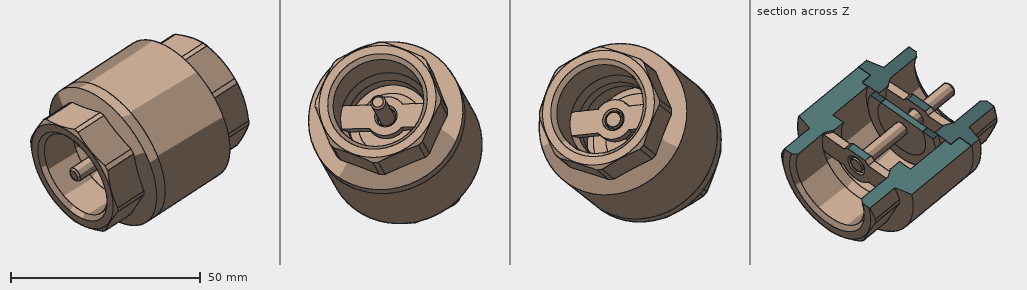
import cadquery as cq
import math


length = 48.5
half_length = length / 2
barrel_diameter = 41.5
barrel_radius = barrel_diameter / 2
shoulder_y = 13.2
shoulder_angle = 15.0
cone_overlap = 0.5
joint_y = -10.15

wrench_sides = 8
wrench_flats = 31.7
wrench_corner_radius = 16.9
wrench_face_radius = 15.7
wrench_chamfer_angle = 30.0
cap_turn = 2.3

socket_radius = 12.15
mouth_chamfer = 1.2
socket_floor_y = 12.85
throat_radius = 10.9
throat_cone_depth = 2.4
throat_y = socket_floor_y - throat_cone_depth

bridge_width = 6.55
hub_radius = 5.45
guide_radius = 2.5
guide_chamfer = 0.5

seat_y = -6.8
spigot_radius = 16.5
chamber_radius = 14.55

closure_thickness = 1.95
seal_radius = 12.12
disc_radius = 8.6
stem_radius = 2.0
stem_chamfer = 0.55
stem_tip_y = -23.75


def axial_cylinder(radius, start_y, end_y):
    """Cylinder on the Y axis between two stations."""
    return cq.Workplane("XZ", origin=(0, start_y, 0)).circle(radius).extrude(start_y - end_y)


def revolved(profile):
    """Solid of revolution about Y from (radius, y) points."""
    return cq.Workplane("XY").polyline(profile).close().revolve(360, (0, 0, 0), (0, 1, 0))


def wrench_end():
    """Octagon at the -Y end with cylindrical corners and a chamfered end face."""
    across_corners = wrench_flats / math.cos(math.pi / wrench_sides)
    octagon = (
        cq.Workplane("XZ", origin=(0, -half_length, 0))
        .polygon(wrench_sides, across_corners)
        .extrude(-half_length)
    )
    chamfer_depth = (wrench_corner_radius - wrench_face_radius) * math.tan(math.radians(wrench_chamfer_angle))
    envelope = revolved([
        (0, -half_length),
        (wrench_face_radius, -half_length),
        (wrench_corner_radius, -half_length + chamfer_depth),
        (wrench_corner_radius, -shoulder_y),
        (0, -shoulder_y),
    ])
    return octagon.intersect(envelope)


def barrel_end(inner_y):
    """Round barrel from inner_y to the -Y shoulder cone, which runs on inside the octagon."""
    cone_radius = wrench_flats / 2 - cone_overlap
    cone_height = (barrel_radius - cone_radius) * math.tan(math.radians(shoulder_angle))
    return revolved([
        (0, inner_y),
        (barrel_radius, inner_y),
        (barrel_radius, -shoulder_y),
        (cone_radius, -shoulder_y - cone_height),
        (0, -shoulder_y - cone_height),
    ])


def socket(inner_y):
    """Space inside the -Y end: chamfered mouth, socket, cone and throat as far as inner_y."""
    return revolved([
        (0, -half_length),
        (socket_radius + mouth_chamfer, -half_length),
        (socket_radius, -half_length + mouth_chamfer),
        (socket_radius, -socket_floor_y),
        (throat_radius, -throat_y),
        (throat_radius, inner_y),
        (0, inner_y),
    ])


def bridge():
    """Bar and hub that fill the depth of the -Y throat cone, bored for the stem."""
    plane = cq.Workplane("XZ", origin=(0, -socket_floor_y, 0))
    bar = plane.rect(2 * barrel_radius, bridge_width).extrude(-throat_cone_depth)
    hub = axial_cylinder(hub_radius, -socket_floor_y, -throat_y)
    throat_cone = revolved([
        (0, -socket_floor_y),
        (socket_radius, -socket_floor_y),
        (throat_radius, -throat_y),
        (0, -throat_y),
    ])
    guide_hole = revolved([
        (0, -socket_floor_y),
        (guide_radius + guide_chamfer, -socket_floor_y),
        (guide_radius, -socket_floor_y + guide_chamfer),
        (guide_radius, -throat_y),
        (0, -throat_y),
    ])
    return bar.union(hub).intersect(throat_cone).cut(guide_hole)


def housing_end(inner_y):
    """Complete -Y end of the valve shell, from its mouth to inner_y."""
    shell = wrench_end().union(barrel_end(inner_y))
    return shell.cut(socket(inner_y)).union(bridge())


def make_cap():
    """Inlet cap with the spigot that carries the valve seat."""
    spigot = axial_cylinder(spigot_radius, joint_y, seat_y)
    spigot = spigot.cut(axial_cylinder(throat_radius, joint_y, seat_y))
    return housing_end(joint_y).union(spigot).rotate((0, 0, 0), (0, 1, 0), cap_turn)


def make_body():
    """Body with the outlet end, the chamber and the pocket that takes the cap's spigot."""
    outlet = housing_end(-joint_y).rotate((0, 0, 0), (0, 0, 1), 180)
    spigot_pocket = axial_cylinder(spigot_radius, joint_y, seat_y)
    chamber = axial_cylinder(chamber_radius, seat_y, -seat_y)
    return outlet.cut(spigot_pocket).cut(chamber)


def make_seal():
    """Seal ring that rests on the cap's seat."""
    outside = axial_cylinder(seal_radius, seat_y, seat_y + closure_thickness)
    return outside.cut(axial_cylinder(disc_radius, seat_y, seat_y + closure_thickness))


def make_disc():
    """Closing disc that fills the seal ring and is bored for the stem."""
    plate = axial_cylinder(disc_radius, seat_y, seat_y + closure_thickness)
    return plate.cut(axial_cylinder(stem_radius, seat_y, seat_y + closure_thickness))


def make_stem():
    """Straight stem through the disc, chamfered at the inlet tip and ending in the outlet hub."""
    return axial_cylinder(stem_radius, stem_tip_y, socket_floor_y).faces("<Y").chamfer(stem_chamfer)


body = make_body()
cap = make_cap()
seal = make_seal()
disc = make_disc()
stem = make_stem()

result = cq.Compound.makeCompound([body.val(), cap.val(), seal.val(), disc.val(), stem.val()])